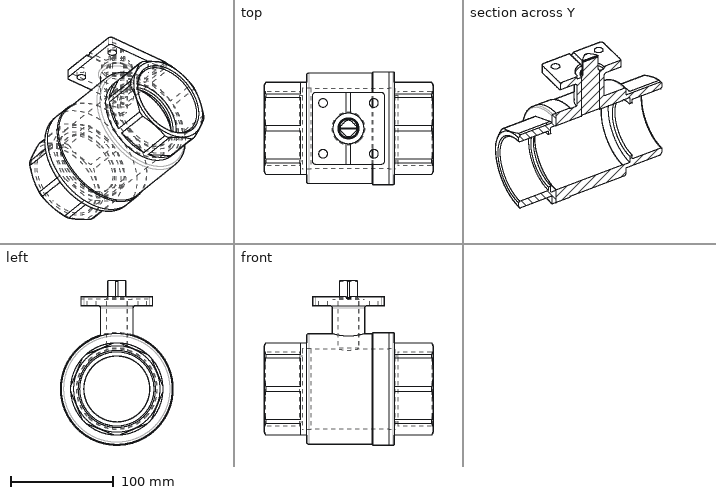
import cadquery as cq
import math


end_left = -82.2
end_right = 82.8
octagon_sides = 8
octagon_flats = 85.0
octagon_corner_diameter = 90.0
end_face_diameter = 84.2
end_chamfer_angle = math.radians(30)
thread_diameter = 72.23
thread_mouth_diameter = 75.2
thread_mouth_chamfer = (thread_mouth_diameter - thread_diameter) / 2
thread_depth = 34.3
port_diameter = 64.0
lip_length = 3.0
seat_pocket_diameter = 78.9

octagon_end = -46.7
barrel_start = -40.8
barrel_diameter = 108.0
barrel_edge_radius = 2.2
collar_diameter = 110.0
collar_start = 24.0
collar_step = (collar_diameter - barrel_diameter) / 2
joint = 39.7
cavity_start = -36.7
cavity_diameter = 78.0

flange_end = 44.7
flange_edge_radius = 1.2

plate_top = 90.0
plate_thickness = 9.0
plate_size = 70.0
plate_corner_radius = 3.0
plate_hole_diameter = 8.5
plate_hole_circle = 70.0
plate_hole_spacing = plate_hole_circle / math.sqrt(2)
plate_bottom = plate_top - plate_thickness
recess_diameter = 30.0
recess_depth = 3.0
index_groove_diameter = 4.3
neck_diameter = 32.0
neck_fillet = 2.0
stem_bore_diameter = 20.5

stem_diameter = 20.0
stem_bottom = 40.0
shoulder_top = 89.0
shoulder_top_diameter = 18.0
shoulder_chamfer = (stem_diameter - shoulder_top_diameter) / 2
stem_top = 105.85
square_flats = 14.0
square_corner_diameter = 17.8
square_top_diameter = 16.0
square_top_chamfer_height = 0.7
slot_width = 1.0
slot_depth = 1.0


def cylinder_x(diameter, start, end):
    return cq.Workplane("YZ").workplane(offset=start).circle(diameter / 2).extrude(end - start)


def cylinder_z(diameter, bottom, top):
    return cq.Workplane("XY").workplane(offset=bottom).circle(diameter / 2).extrude(top - bottom)


def octagon_end_piece(face, inner):
    """Octagonal pipe end from its chamfered outer face to its inner end."""
    outward = math.copysign(1, face - inner)
    corner_radius = octagon_corner_diameter / 2
    face_radius = end_face_diameter / 2
    chamfer_length = (corner_radius - face_radius) * math.tan(end_chamfer_angle)
    turned = (
        cq.Workplane("XY")
        .polyline([
            (inner, 0),
            (inner, corner_radius),
            (face - outward * chamfer_length, corner_radius),
            (face, face_radius),
            (face, 0),
        ])
        .close()
        .revolve(360, (0, 0, 0), (1, 0, 0))
    )
    half_side_angle = 180 / octagon_sides
    octagon = (
        cq.Workplane("YZ")
        .workplane(offset=min(face, inner))
        .transformed(rotate=(0, 0, half_side_angle))
        .polygon(octagon_sides, octagon_flats, circumscribed=True)
        .extrude(abs(face - inner))
    )
    return turned.intersect(octagon)


def threaded_bore(face):
    """Thread bore with a chamfered mouth, cut inward from an end face."""
    inward = -math.copysign(1, face)
    bore_radius = thread_diameter / 2
    depth_end = face + inward * thread_depth
    return (
        cq.Workplane("XY")
        .polyline([
            (face, 0),
            (face, thread_mouth_diameter / 2),
            (face + inward * thread_mouth_chamfer, bore_radius),
            (depth_end, bore_radius),
            (depth_end, 0),
        ])
        .close()
        .revolve(360, (0, 0, 0), (1, 0, 0))
    )


def make_barrel():
    """Round middle of the body, stepping up through a chamfer to the collar."""
    barrel = cylinder_x(barrel_diameter, barrel_start, collar_start)
    barrel = barrel.faces("<X").edges().fillet(barrel_edge_radius)
    collar = cylinder_x(collar_diameter, collar_start - collar_step, joint)
    collar = collar.faces("<X").edges().chamfer(collar_step)
    return barrel.union(collar)


def make_neck_and_plate():
    """Neck flaring into the square plate, which has four holes and an index groove along Y."""
    neck_radius = neck_diameter / 2
    neck = (
        cq.Workplane("XZ")
        .lineTo(neck_radius, 0)
        .lineTo(neck_radius, plate_bottom - neck_fillet)
        .tangentArcPoint((neck_radius + neck_fillet, plate_bottom), relative=False)
        .lineTo(0, plate_bottom)
        .close()
        .revolve(360, (0, 0, 0), (0, 1, 0))
    )
    plate = (
        cq.Workplane("XY")
        .workplane(offset=plate_bottom)
        .rect(plate_size, plate_size)
        .extrude(plate_thickness)
        .edges("|Z")
        .fillet(plate_corner_radius)
        .faces(">Z")
        .workplane()
        .rect(plate_hole_spacing, plate_hole_spacing, forConstruction=True)
        .vertices()
        .hole(plate_hole_diameter)
    )
    groove = (
        cq.Workplane("XZ")
        .center(0, plate_top)
        .circle(index_groove_diameter / 2)
        .extrude(plate_size / 2, both=True)
    )
    return neck.union(plate).cut(groove)


def make_body():
    """Main casting: left pipe end, barrel, neck and mounting plate, with its bores."""
    body = octagon_end_piece(end_left, octagon_end)
    body = body.union(cylinder_x(octagon_corner_diameter, octagon_end, barrel_start))
    body = body.union(make_barrel()).union(make_neck_and_plate())
    body = body.cut(threaded_bore(end_left))
    body = body.cut(cylinder_x(port_diameter, end_left, cavity_start))
    body = body.cut(cylinder_x(seat_pocket_diameter, end_left + thread_depth + lip_length, cavity_start))
    body = body.cut(cylinder_x(cavity_diameter, cavity_start, joint))
    body = body.cut(cylinder_z(recess_diameter, plate_top - recess_depth, plate_top))
    return body.cut(cylinder_z(stem_bore_diameter, 0, plate_top))


def make_cap():
    """Right pipe end with the flange that closes the body."""
    flange = cylinder_x(collar_diameter, joint, flange_end).faces(">X").edges().fillet(flange_edge_radius)
    cap = flange.union(octagon_end_piece(end_right, flange_end))
    cap = cap.cut(threaded_bore(end_right))
    cap = cap.cut(cylinder_x(port_diameter, joint, end_right))
    return cap.cut(cylinder_x(seat_pocket_diameter, joint, end_right - thread_depth - lip_length))


def make_stem():
    """Round shank with a chamfered shoulder and a slotted square drive, corners along X and Y."""
    shank = cylinder_z(stem_diameter, stem_bottom, shoulder_top).faces(">Z").edges().chamfer(shoulder_chamfer)
    square = (
        cq.Workplane("XY")
        .workplane(offset=shoulder_top)
        .transformed(rotate=(0, 0, 45))
        .rect(square_flats, square_flats)
        .extrude(stem_top - shoulder_top)
    )
    corners = cylinder_z(square_corner_diameter, shoulder_top, stem_top)
    corners = corners.faces(">Z").edges().chamfer(
        square_top_chamfer_height, (square_corner_diameter - square_top_diameter) / 2
    )
    slot = (
        cq.Workplane("XY")
        .workplane(offset=stem_top - slot_depth)
        .rect(square_corner_diameter, slot_width)
        .extrude(slot_depth)
    )
    return shank.union(square.intersect(corners)).cut(slot)


body = make_body()
cap = make_cap()
stem = make_stem()

result = cq.Compound.makeCompound([body.val(), cap.val(), stem.val()])